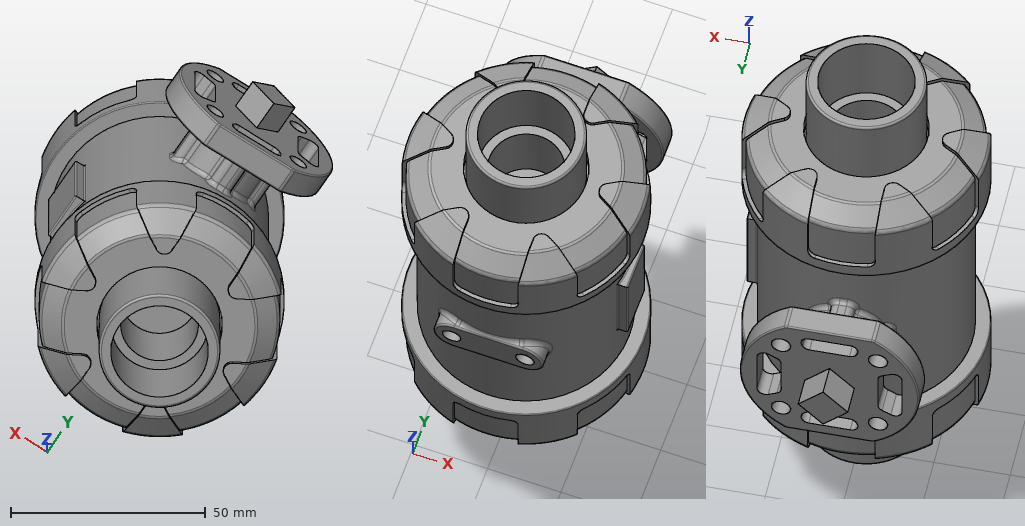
import cadquery as cq
import math

TOTAL_LENGTH = 137.0
BODY_DIA = 56.0
PIPE_DIA = 31.0
PIPE_EDGE_FILLET = 0.6
PIPE_BORE_DIA = 25.0
PIPE_BORE_DEPTH = 20.0
PORT_DIA = 20.0
PORT_DEPTH = 40.0

NUT_DIA = 64.0
NUT_INNER_Z = 28.75
NUT_OUTER_Z = 50.6
NUT_CONE_TOP_DIA = 49.8
NUT_CONE_ANGLE = 33.0
NUT_RIM_FILLET = 0.3
NUT_SHOULDER_FILLET = 1.6
NUT_CONE_TOP_FILLET = 1.4
NUT_OPENING_DIA = 32.2
NUT_OPENING_DEPTH = 4.0
GRIP_COUNT = 6
GRIP_DEPTH = 1.1
GRIP_WIDTH = 17.7
GRIP_BASE_Z = 32.4
GRIP_CORNER_RADIUS = 2.0
RIB_TIP_RADIUS = 2.3

FLANGE_DIA = 47.0
FLANGE_HEIGHT = 41.0
FLANGE_BACK_Y = 38.5
FLANGE_THICKNESS = 7.0
FLANGE_CORNER_FILLET = 1.8
FLANGE_EDGE_FILLET = 0.4
BOLT_HOLE_DIA = 5.0
BOLT_CIRCLE_DIA = 36.0
BOLT_COUNT = 4
WINDOW_INNER = 12.7
SIDE_WINDOW_OUTER = 19.0
END_WINDOW_OUTER = 17.1
WINDOW_HALF_ANGLE = 27.0
WINDOW_CORNER_RADIUS = 2.0

NECK_CORE_DIA = 20.0
NECK_RIB_SPAN = 25.0
NECK_RIB_WIDTH = 6.2
NECK_RIB_TIP_FILLET = 2.1
NECK_RIB_ROOT_FILLET = 1.3
NECK_BASE_FILLET = 1.3

DRIVE_DIAGONAL = 13.0
DRIVE_END_Y = 53.5

LUG_FACE_Y = -28.8
LUG_LENGTH = 29.8
LUG_HEIGHT = 11.0
LUG_BASE_FILLET = 1.5
LUG_FACE_FILLET = 0.5
LUG_HOLE_SPACING = 20.0
LUG_HOLE_DIA = 5.0

LABEL_FACE_X = 30.0
LABEL_WIDTH = 12.9
LABEL_HEIGHT = 25.5
LABEL_FILLET = 0.4

MARGIN = 1.0
TOLERANCE = 0.01


def make_body():
    return cq.Workplane("XY").circle(BODY_DIA / 2).extrude(NUT_INNER_Z + NUT_OPENING_DEPTH, both=True)


def nut_blank(inset):
    """Coned nut without its grips, its side and outer end moved inward by the inset."""
    radius = NUT_DIA / 2 - inset
    end_z = NUT_OUTER_Z - inset
    cone_top_radius = NUT_CONE_TOP_DIA / 2
    cone_drop = (radius - cone_top_radius) * math.tan(math.radians(NUT_CONE_ANGLE))
    shoulder_z = end_z - cone_drop
    profile = [
        (0, NUT_INNER_Z),
        (radius, NUT_INNER_Z),
        (radius, shoulder_z),
        (cone_top_radius, end_z),
        (0, end_z),
    ]
    blank = cq.Workplane("XZ").polyline(profile).close().revolve(360, (0, 0, 0), (0, 1, 0))
    rounded_top = blank.faces(">Z").edges().fillet(NUT_CONE_TOP_FILLET)
    shoulder = cq.selectors.BoxSelector(
        (-NUT_DIA, -NUT_DIA, shoulder_z - TOLERANCE),
        (NUT_DIA, NUT_DIA, shoulder_z + TOLERANCE),
        boundingbox=True,
    )
    return rounded_top.edges(shoulder).fillet(NUT_SHOULDER_FILLET)


def grip_slots():
    """Star of radial slots that leaves tapering ribs with rounded tips between them."""
    slot_height = NUT_OUTER_Z + MARGIN - GRIP_BASE_Z
    slots = None
    for index in range(GRIP_COUNT // 2):
        slot = (
            cq.Workplane("XY")
            .box(GRIP_WIDTH, 2 * NUT_DIA, slot_height)
            .edges("|Y and <Z")
            .fillet(GRIP_CORNER_RADIUS)
            .translate((0, 0, GRIP_BASE_Z + slot_height / 2))
            .rotate((0, 0, 0), (0, 0, 1), index * 360 / GRIP_COUNT)
        )
        slots = slot if slots is None else slots.union(slot)
    return slots


def rib_tip_rounding():
    """Disc with a round left standing at each rib tip, cut away along with the slots."""
    half_rib_angle = math.radians(180 / GRIP_COUNT)
    corner_radius = GRIP_WIDTH / 2 / math.sin(half_rib_angle)
    center_radius = corner_radius + RIB_TIP_RADIUS / math.sin(half_rib_angle)
    disc_radius = center_radius - RIB_TIP_RADIUS * math.sin(half_rib_angle)
    slot_height = NUT_OUTER_Z + MARGIN - GRIP_BASE_Z
    disc = cq.Workplane("XY").circle(disc_radius).extrude(slot_height)
    tips = (
        cq.Workplane("XY")
        .polarArray(center_radius, 0, 360, GRIP_COUNT)
        .circle(RIB_TIP_RADIUS)
        .extrude(slot_height)
    )
    return disc.cut(tips).translate((0, 0, GRIP_BASE_Z))


def make_nut():
    full = nut_blank(0).faces("<Z").edges().fillet(NUT_RIM_FILLET)
    grips = grip_slots().union(rib_tip_rounding()).cut(nut_blank(GRIP_DEPTH))
    opening = (
        cq.Workplane("XY")
        .workplane(offset=NUT_OUTER_Z - GRIP_DEPTH - NUT_OPENING_DEPTH)
        .circle(NUT_OPENING_DIA / 2)
        .extrude(2 * NUT_OPENING_DEPTH)
    )
    return full.cut(grips).cut(opening)


def make_pipe():
    pipe = cq.Workplane("XY").circle(PIPE_DIA / 2).extrude(TOTAL_LENGTH / 2)
    return pipe.faces(">Z").edges().fillet(PIPE_EDGE_FILLET)


def make_port():
    end = cq.Workplane("XY").workplane(offset=TOTAL_LENGTH / 2)
    bore = end.circle(PIPE_BORE_DIA / 2).extrude(-PIPE_BORE_DEPTH)
    return bore.union(end.circle(PORT_DIA / 2).extrude(-PORT_DEPTH))


def both_ends(shape):
    return shape.union(shape.mirror("XY"))


def flange_plane(y):
    """Sketch plane facing +Y, with its local axes along -X and +Z."""
    return cq.Workplane(cq.Plane(origin=(0, y, 0), xDir=(-1, 0, 0), normal=(0, 1, 0)))


def flange_window(outer, angle):
    """Rounded trapezoid through the flange, turned by the angle about the stem axis."""
    slope = math.tan(math.radians(WINDOW_HALF_ANGLE))
    outline = [
        (WINDOW_INNER, -WINDOW_INNER * slope),
        (outer, -outer * slope),
        (outer, outer * slope),
        (WINDOW_INNER, WINDOW_INNER * slope),
    ]
    window = flange_plane(FLANGE_BACK_Y).polyline(outline).close().extrude(FLANGE_THICKNESS)
    return window.edges("|Y").fillet(WINDOW_CORNER_RADIUS).rotate((0, 0, 0), (0, 1, 0), angle)


def make_flange():
    disc = flange_plane(FLANGE_BACK_Y).circle(FLANGE_DIA / 2).extrude(FLANGE_THICKNESS)
    trim = flange_plane(FLANGE_BACK_Y).rect(FLANGE_DIA, FLANGE_HEIGHT).extrude(FLANGE_THICKNESS)
    flange = disc.intersect(trim).edges("|Y").edges(">Z or <Z").fillet(FLANGE_CORNER_FILLET)
    flange = flange.faces("<Y or >Y").edges().fillet(FLANGE_EDGE_FILLET)

    bolt_holes = (
        flange_plane(FLANGE_BACK_Y)
        .polarArray(BOLT_CIRCLE_DIA / 2, 180 / BOLT_COUNT, 360, BOLT_COUNT)
        .circle(BOLT_HOLE_DIA / 2)
        .extrude(FLANGE_THICKNESS)
    )
    flange = flange.cut(bolt_holes)

    for index in range(2):
        side_angle = 180 * index
        flange = flange.cut(flange_window(SIDE_WINDOW_OUTER, side_angle))
        flange = flange.cut(flange_window(END_WINDOW_OUTER, side_angle + 90))
    return flange


def make_neck():
    """Round core with four ribs, running from inside the body to the flange."""
    core = flange_plane(0).circle(NECK_CORE_DIA / 2).extrude(FLANGE_BACK_Y)
    ribs = None
    for size in ((NECK_RIB_SPAN, NECK_RIB_WIDTH), (NECK_RIB_WIDTH, NECK_RIB_SPAN)):
        rib = flange_plane(0).rect(*size).extrude(FLANGE_BACK_Y).edges("|Y").fillet(NECK_RIB_TIP_FILLET)
        ribs = rib if ribs is None else ribs.union(rib)
    neck = core.union(ribs)
    half_width = NECK_RIB_WIDTH / 2
    root_reach = math.sqrt((NECK_CORE_DIA / 2) ** 2 - half_width**2)
    for x, z in ((half_width, root_reach), (root_reach, half_width)):
        for side_x in (-x, x):
            for side_z in (-z, z):
                root = cq.selectors.NearestToPointSelector((side_x, FLANGE_BACK_Y / 2, side_z))
                neck = neck.edges("|Y").edges(root).fillet(NECK_RIB_ROOT_FILLET)
    return neck


def make_drive():
    return flange_plane(FLANGE_BACK_Y).polygon(4, DRIVE_DIAGONAL).extrude(DRIVE_END_Y - FLANGE_BACK_Y)


def seam_edges(shape, low, high):
    """Edges of the shape inside the given box that lie on the body cylinder from end to end."""
    seam = []
    for edge in shape.edges(cq.selectors.BoxSelector(low, high)).vals():
        points = edge.positions([0.0, 0.3, 0.5, 1.0])
        if all(abs(math.hypot(p.x, p.y) - BODY_DIA / 2) < TOLERANCE for p in points):
            seam.append(edge)
    return seam


def add_blended(base, feature, low, high, radius):
    """Join the feature to the body and fillet their seam inside the given box."""
    joined = base.union(feature)
    seam = seam_edges(joined, low, high)
    return joined.newObject(seam).fillet(radius)


def make_lug():
    lug = cq.Workplane("XZ").slot2D(LUG_LENGTH, LUG_HEIGHT).extrude(-LUG_FACE_Y)
    return lug.faces("<Y").edges().fillet(LUG_FACE_FILLET)


def lug_holes():
    """Holes through the lug that stop at the body surface."""
    holes = (
        cq.Workplane("XZ")
        .rarray(LUG_HOLE_SPACING, 1, 2, 1)
        .circle(LUG_HOLE_DIA / 2)
        .extrude(-LUG_FACE_Y)
    )
    return holes.cut(make_body())


def make_label_plate():
    plate = cq.Workplane("YZ").rect(LABEL_WIDTH, LABEL_HEIGHT).extrude(LABEL_FACE_X)
    return plate.faces(">X").edges().fillet(LABEL_FILLET)


REACH = BODY_DIA / 2 + MARGIN
body = make_body()
body = add_blended(body, make_neck(), (-REACH, MARGIN, -REACH), (REACH, REACH, REACH), NECK_BASE_FILLET)
body = add_blended(body, make_lug(), (-REACH, -REACH, -REACH), (REACH, -MARGIN, REACH), LUG_BASE_FILLET)
body = add_blended(
    body, make_label_plate(), (MARGIN, -LABEL_WIDTH, -REACH), (REACH, LABEL_WIDTH, REACH), LABEL_FILLET
)
result = (
    body.union(make_flange())
    .union(make_drive())
    .union(both_ends(make_nut()))
    .union(both_ends(make_pipe()))
    .cut(both_ends(make_port()))
    .cut(lug_holes())
)